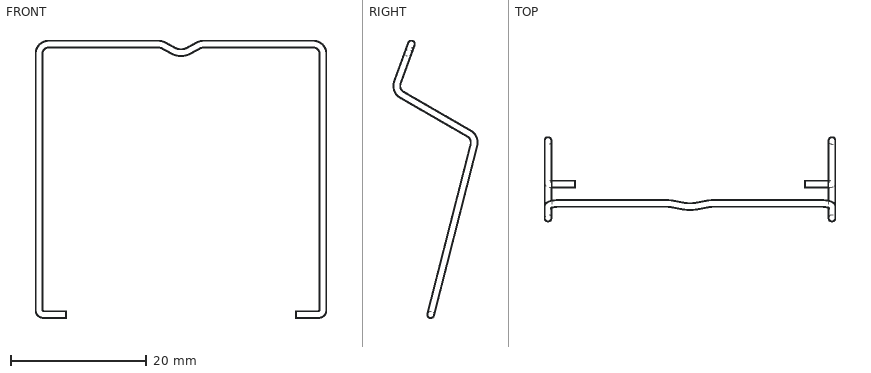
import cadquery as cq
import math

overall_width = 43.0
overall_height = 41.02
wire_diameter = 1.05

upper_length = 7.3
upper_lean = math.radians(20)
middle_length = 13.9
middle_slope = math.radians(30)
lower_lean = math.radians(14.3)

hook_length = 4.5

dip_half_width = 2.95
dip_angle = math.radians(30)

leg_bend_radius = 1.5
hook_bend_radius = 0.7
dip_shoulder_radius = 1.8
dip_bottom_radius = 2.25

leg_x = (overall_width - wire_diameter) / 2
hook_end_x = overall_width / 2 - hook_length
top_z = overall_height - wire_diameter
front_z = top_z - upper_length * math.cos(upper_lean)
back_z = front_z - middle_length * math.sin(middle_slope)
back_y = back_z * math.tan(lower_lean)
front_y = back_y - middle_length * math.cos(middle_slope)
top_y = front_y + upper_length * math.sin(upper_lean)

dip_depth = dip_half_width * math.tan(dip_angle)
dip_y = top_y - dip_depth * math.sin(upper_lean)
dip_z = top_z - dip_depth * math.cos(upper_lean)

half_corners = [
    ((leg_x, 0, 0), hook_bend_radius),
    ((leg_x, back_y, back_z), leg_bend_radius),
    ((leg_x, front_y, front_z), leg_bend_radius),
    ((leg_x, top_y, top_z), leg_bend_radius),
    ((dip_half_width, top_y, top_z), dip_shoulder_radius),
]
dip_corner = ((0, dip_y, dip_z), dip_bottom_radius)


def mirrored(corner):
    """Reflect a corner across the YZ plane."""
    (x, y, z), radius = corner
    return (-x, y, z), radius


def bent_path(start, corners, end):
    """Join straight runs with a tangent arc at every corner."""
    points = [cq.Vector(start)] + [cq.Vector(c[0]) for c in corners] + [cq.Vector(end)]
    edges = []
    run_start = points[0]
    for before, corner, after, (_, radius) in zip(points, points[1:], points[2:], corners):
        to_before = (before - corner).normalized()
        to_after = (after - corner).normalized()
        half_angle = to_before.getAngle(to_after) / 2
        setback = radius / math.tan(half_angle)
        arc_start = corner + to_before * setback
        arc_end = corner + to_after * setback
        bisector = (to_before + to_after).normalized()
        arc_middle = corner + bisector * (radius / math.sin(half_angle) - radius)
        edges.append(cq.Edge.makeLine(run_start, arc_start))
        edges.append(cq.Edge.makeThreePointArc(arc_start, arc_middle, arc_end))
        run_start = arc_end
    edges.append(cq.Edge.makeLine(run_start, points[-1]))
    return cq.Wire.assembleEdges(edges)


all_corners = half_corners + [dip_corner] + [mirrored(c) for c in reversed(half_corners)]
wire_axis = bent_path((hook_end_x, 0, 0), all_corners, (-hook_end_x, 0, 0))

result = (
    cq.Workplane("YZ", origin=(hook_end_x, 0, 0))
    .circle(wire_diameter / 2)
    .sweep(wire_axis)
)